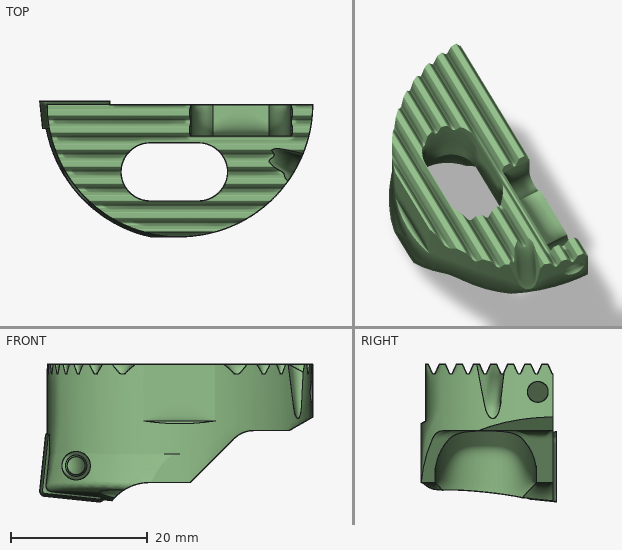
import cadquery as cq
import math


right_wall_radius = 19.5
left_wall_radius = 19.35
front_flat_y = -19.35
right_wall_centre_y = front_flat_y + right_wall_radius
left_wall_centre_y = front_flat_y + left_wall_radius
body_bottom = -17.35
flare_top = -13.15
relief_angle = 6
blank_bottom = -32
oversize = 60

gullet_radius = 7.0
gullet_start_x = -4.4
gullet_sweep = 60
step_x = 1.55
shelf_bottom = -9.75
step_angle = 45
step_blend_radius = 4
shelf_end_x = 16.05
shelf_end_slope = 30

seat_point = (-9.95, 0, -20)
seat_edge_radius = 0.9

serration_pitch = 2.5
serration_depth = 1.45
serration_crest = 0.9
serration_root = 0.3
serration_round = 0.15
serration_first_y = 0.05
serration_count = 9

slot_x = -0.75
slot_y = -9.85
slot_length = 15.55
slot_width = 8.5
slot_recess_margin = 3.2

front_pocket_half_width = 5.35
front_pocket_y = -18.65
front_pocket_depth = 8.3
front_pocket_slope = 30

key_left = 1.7
key_right = 16.3
key_length = 4.55
key_floor = -6
key_groove_radius = 1.6
key_mouth_depth = 1.75
key_mouth_widening = 0.2

cross_hole_radius = 1.5
cross_hole_y = -2.25
cross_hole_z = -4.1

groove_axis_point = (18.25, -9.3, -7.05)
groove_descent = 60
groove_azimuth = -22
groove_radius = 1.35
groove_flank_angle = 20
groove_roll = 6
groove_depth = 10
groove_length = 16

insert_side = 9.5
insert_corner = 0.8
insert_tilt = 6
insert_centre = (-15.3, -15.05)
insert_face_y = 0.5
insert_thickness = 4.05

screw_x = -15.1
screw_z = -14.9
screw_radius = 1.55
screw_chamfer = 0.25
screw_tip_y = -8.9
counterbore_radius = 2.1


def block(x_range, y_range, z_range):
    """Axis-aligned box given by its limits."""
    size = [high - low for low, high in (x_range, y_range, z_range)]
    corner = (x_range[0], y_range[0], z_range[0])
    return cq.Workplane("XY").box(*size, centered=False).translate(corner)


def cylinder_along_y(radius, x, z, y_start, y_end):
    """Cylinder parallel to Y between two Y positions."""
    plane = cq.Workplane("XZ", origin=(x, y_start, z))
    return plane.circle(radius).extrude(y_start - y_end)


def below_seat():
    """Everything below the sloping seat plane."""
    slab = block((-oversize, oversize), (-oversize, oversize), (-oversize, 0))
    slab = slab.rotate((0, 0, 0), (1, 0, 0), -relief_angle)
    slab = slab.rotate((0, 0, 0), (0, 1, 0), insert_tilt)
    return slab.translate(seat_point)


def flared_foot():
    """Left foot: a widening cone that ends in a rounded sloping seat."""
    flare_height = flare_top - blank_bottom
    flare_radius = left_wall_radius + flare_height * math.tan(math.radians(relief_angle))
    foot = (
        cq.Workplane("XZ")
        .moveTo(0, 0)
        .lineTo(left_wall_radius, 0)
        .lineTo(left_wall_radius, flare_top)
        .lineTo(flare_radius, blank_bottom)
        .lineTo(0, blank_bottom)
        .close()
        .revolve(360, (0, 0), (0, 1))
        .translate((0, left_wall_centre_y, 0))
        .cut(below_seat())
    )
    foot = foot.faces("<Z").edges().fillet(seat_edge_radius)
    return foot.intersect(block((-oversize, 0), (-oversize, 0), (-oversize, 0)))


def holder_blank():
    """Half-round body, plain on the right and flared on the left."""
    axis = cq.Workplane("XY").center(0, right_wall_centre_y)
    round_body = axis.circle(right_wall_radius).extrude(blank_bottom)
    right_half = round_body.intersect(block((0, oversize), (-oversize, 0), (-oversize, 0)))
    blank = right_half.union(flared_foot())
    return blank.cut(block((-oversize, oversize), (-oversize, front_flat_y), (-oversize, oversize)))


def underside_cut():
    """Material removed below the gullet, the sloping step and the shelf."""
    sweep = math.radians(gullet_sweep)
    centre_z = body_bottom - gullet_radius

    def on_gullet(angle):
        return (gullet_start_x - gullet_radius * math.sin(angle), centre_z + gullet_radius * math.cos(angle))

    gullet_end = on_gullet(sweep)
    step = math.radians(step_angle)
    shelf_start_x = step_x + (shelf_bottom - body_bottom) / math.tan(step)
    blend_end_x = shelf_start_x + step_blend_radius * math.tan(step / 2)
    blend_centre_z = shelf_bottom - step_blend_radius

    def on_blend(angle):
        return (
            blend_end_x - step_blend_radius * math.sin(angle),
            blend_centre_z + step_blend_radius * math.cos(angle),
        )

    end_rise = (oversize - shelf_end_x) * math.tan(math.radians(shelf_end_slope))
    return (
        cq.Workplane("XZ")
        .moveTo(gullet_end[0], -oversize)
        .lineTo(*gullet_end)
        .threePointArc(on_gullet(sweep / 2), (gullet_start_x, body_bottom))
        .lineTo(step_x, body_bottom)
        .lineTo(*on_blend(step))
        .threePointArc(on_blend(step / 2), (blend_end_x, shelf_bottom))
        .lineTo(shelf_end_x, shelf_bottom)
        .lineTo(oversize, shelf_bottom + end_rise)
        .lineTo(oversize, -oversize)
        .close()
        .extrude(oversize, both=True)
    )


def serration_cut():
    """Comb above the serrated top, rounded at every crest and root."""
    points = []
    for tooth in range(serration_count):
        valley_y = serration_first_y - tooth * serration_pitch
        half_mouth = (serration_pitch - serration_crest) / 2
        half_root = serration_root / 2
        points += [
            (valley_y + half_mouth, 0),
            (valley_y + half_root, -serration_depth),
            (valley_y - half_root, -serration_depth),
            (valley_y - half_mouth, 0),
        ]
    points += [(points[-1][0], serration_depth), (points[0][0], serration_depth)]
    comb = cq.Workplane("YZ").polyline(points).close().extrude(oversize, both=True)
    rounded = cq.selectors.BoxSelector(
        (-oversize, -oversize, -oversize),
        (oversize, serration_first_y + serration_root, serration_depth / 2),
    )
    return comb.edges("|X").edges(rounded).fillet(serration_round)


def slot_cut():
    """Through slot with a wider recess opening downward from the shelf level."""
    slot = cq.Workplane("XY").center(slot_x, slot_y).slot2D(slot_length, slot_width)
    recess = (
        cq.Workplane("XY", origin=(slot_x, slot_y, shelf_bottom))
        .slot2D(slot_length + 2 * slot_recess_margin, slot_width + 2 * slot_recess_margin)
    )
    return slot.extrude(-oversize).union(recess.extrude(-oversize))


def front_pocket_cut():
    """Flat on the front wall, closed below by a ledge that slopes outward."""
    reach = front_pocket_y - front_flat_y
    drop = reach * math.tan(math.radians(front_pocket_slope))
    return (
        cq.Workplane("YZ")
        .polyline([
            (front_pocket_y, 0),
            (front_pocket_y, -front_pocket_depth),
            (front_pocket_y - reach, -front_pocket_depth - drop),
            (front_pocket_y - reach, 0),
        ])
        .close()
        .extrude(front_pocket_half_width, both=True)
    )


def key_channel_cut():
    """Channel in the back edge with a round relief groove along each wall."""
    section = [
        (key_left - key_mouth_widening, 0),
        (key_left, -key_mouth_depth),
        (key_left, key_floor),
        (key_right, key_floor),
        (key_right, -key_mouth_depth),
        (key_right + key_mouth_widening, 0),
    ]
    channel = cq.Workplane("XZ").polyline(section).close().extrude(key_length)
    for groove_x in (key_left + key_groove_radius, key_right - key_groove_radius):
        channel = channel.union(cylinder_along_y(key_groove_radius, groove_x, key_floor, 0, -key_length))
    return channel


def cross_hole_cut():
    """Hole from the key channel out through the right end wall."""
    start = (key_right - key_groove_radius, cross_hole_y, cross_hole_z)
    return cq.Workplane("YZ", origin=start).circle(cross_hole_radius).extrude(right_wall_radius)


def coolant_groove_cut():
    """Round-bottomed V groove that runs steeply down to the outer wall."""
    descent = math.radians(groove_descent)
    azimuth = math.radians(groove_azimuth)
    flank = math.radians(groove_flank_angle)
    along = (
        math.cos(descent) * math.cos(azimuth),
        math.cos(descent) * math.sin(azimuth),
        -math.sin(descent),
    )
    across = (-math.sin(azimuth), math.cos(azimuth), 0)
    tangent_half = groove_radius * math.cos(flank)
    tangent_height = -groove_radius * math.sin(flank)
    top_half = tangent_half + (groove_depth - tangent_height) * math.tan(flank)
    section_plane = cq.Plane(origin=groove_axis_point, xDir=across, normal=along)
    section_plane = section_plane.rotated((0, 0, groove_roll))
    return (
        cq.Workplane(section_plane)
        .moveTo(-top_half, groove_depth)
        .lineTo(-tangent_half, tangent_height)
        .threePointArc((0, -groove_radius), (tangent_half, tangent_height))
        .lineTo(top_half, groove_depth)
        .close()
        .extrude(groove_length, both=True)
    )


def make_insert_blank():
    """Tilted square plate with round corners and tapering sides."""
    outline = cq.Sketch().rect(insert_side, insert_side).vertices().fillet(insert_corner)
    plate = (
        cq.Workplane("XZ")
        .placeSketch(outline)
        .extrude(insert_thickness, taper=relief_angle)
        .rotate((0, 0, 0), (0, 1, 0), insert_tilt)
    )
    return plate.translate((insert_centre[0], insert_face_y, insert_centre[1]))


def make_screw():
    """Clamping screw, flush with the insert face and chamfered at its tip."""
    shank = cylinder_along_y(screw_radius, screw_x, screw_z, insert_face_y, screw_tip_y)
    return shank.faces("<Y").chamfer(screw_chamfer)


def make_holder(insert_blank):
    """Cartridge body with the seats for the insert and the screw."""
    counterbore = cylinder_along_y(counterbore_radius, screw_x, screw_z, screw_tip_y, -oversize)
    screw_hole = cylinder_along_y(screw_radius, screw_x, screw_z, insert_face_y, screw_tip_y)
    holder = holder_blank()
    for cutter in (
        underside_cut(),
        slot_cut(),
        front_pocket_cut(),
        key_channel_cut(),
        cross_hole_cut(),
        coolant_groove_cut(),
        serration_cut(),
        insert_blank,
        counterbore,
        screw_hole,
    ):
        holder = holder.cut(cutter)
    return holder


insert_blank = make_insert_blank()
holder = make_holder(insert_blank)
insert = insert_blank.cut(cylinder_along_y(screw_radius, screw_x, screw_z, oversize, -oversize))
screw = make_screw()

result = cq.Compound.makeCompound([holder.val(), insert.val(), screw.val()])